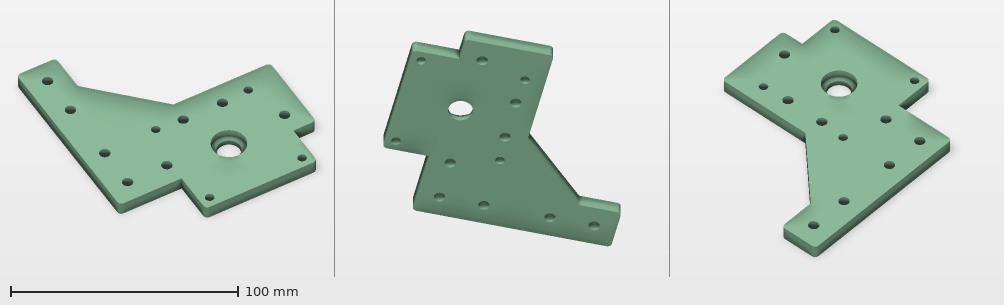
import cadquery as cq

length = 111.0
width = 100.0
thickness = 6.5
corner_radius = 2.0

column_left = 50.0
column_right = 90.0
arm_height = 20.0
diagonal_rise = 30.8
motor_flange_side = 57.0

grid_pitch = 20.0
grid_margin = 10.0
mount_hole_diameter = 5.0

motor_x = length - motor_flange_side / 2
motor_y = 60.1
motor_hole_spacing = 47.1
motor_hole_diameter = 4.2
bore_diameter = 11.0
seat_diameter = 16.1
seat_depth = 4.0


def make_plate():
    """Plate with a diagonal brace edge between the arm and the column."""
    flange_bottom = motor_y - motor_flange_side / 2
    flange_top = motor_y + motor_flange_side / 2
    diagonal_start = (column_left - diagonal_rise, arm_height)
    diagonal_end = (column_left, arm_height + diagonal_rise)
    outline = [
        (0, 0),
        (column_right, 0),
        (column_right, flange_bottom),
        (length, flange_bottom),
        (length, flange_top),
        (column_right, flange_top),
        (column_right, width),
        (column_left, width),
        diagonal_end,
        diagonal_start,
        (0, arm_height),
    ]
    rounded_corners = [
        (0, 0),
        (column_right, 0),
        (length, flange_bottom),
        (length, flange_top),
        (column_right, width),
        (column_left, width),
        diagonal_start,
        (0, arm_height),
    ]
    plate = cq.Workplane("XY").polyline(outline).close().extrude(thickness)
    for x, y in rounded_corners:
        corner = cq.selectors.NearestToPointSelector((x, y, thickness / 2))
        plate = plate.edges("|Z").edges(corner).fillet(corner_radius)
    return plate


def drill(plate, points, diameter):
    """Drill through holes at the given points."""
    holes = cq.Workplane("XY").pushPoints(points).circle(diameter / 2).extrude(thickness)
    return plate.cut(holes)


def cut_motor_seat(plate):
    """Through bore with a round seat sunk from the top face."""
    plate = drill(plate, [(motor_x, motor_y)], bore_diameter)
    seat = (
        cq.Workplane("XY", origin=(motor_x, motor_y, thickness - seat_depth))
        .circle(seat_diameter / 2)
        .extrude(seat_depth)
    )
    return plate.cut(seat)


mount_half_steps = [(0, 0), (2, 0), (5, 0), (7, 0), (7, 2), (5, 4), (5, 6), (7, 8)]
mount_points = [
    (grid_margin + column * grid_pitch / 2, grid_margin + row * grid_pitch / 2)
    for column, row in mount_half_steps
]
motor_points = [
    (motor_x + side_x * motor_hole_spacing / 2, motor_y + side_y * motor_hole_spacing / 2)
    for side_x in (-1, 1)
    for side_y in (-1, 1)
]

result = make_plate()
result = drill(result, mount_points, mount_hole_diameter)
result = drill(result, motor_points, motor_hole_diameter)
result = cut_motor_seat(result)